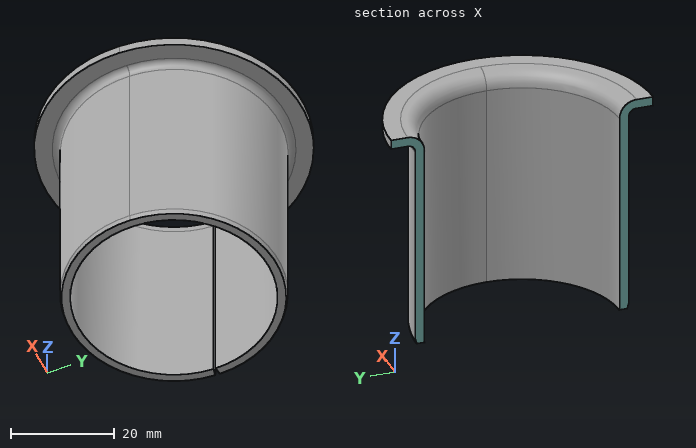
import cadquery as cq
import math

flange_diameter = 54.0
body_diameter = 44.0
wall = 2.0
height = 45.0
outer_fillet = 1.5
chamfer_height = 1.1
chamfer_depth = 0.3
slit_half_angle = math.radians(10)
slit_mouth_width = 2.85

flange_radius = flange_diameter / 2
body_radius = body_diameter / 2
bore_radius = body_radius - wall
bend_radius = outer_fillet + wall
bend_centre_radius = body_radius + outer_fillet
bend_centre_height = height - bend_radius


def bend_midpoint(radius):
    """Point halfway along a bend arc of the given radius."""
    offset = radius * math.cos(math.radians(45))
    return (bend_centre_radius - offset, bend_centre_height + offset)


def flanged_sleeve():
    """Revolve the wall section about Z, with the flange at the top."""
    section = (
        cq.Workplane("XZ")
        .moveTo(bore_radius, 0)
        .lineTo(body_radius - chamfer_depth, 0)
        .lineTo(body_radius, chamfer_height)
        .lineTo(body_radius, bend_centre_height)
        .threePointArc(bend_midpoint(outer_fillet), (bend_centre_radius, height - wall))
        .lineTo(flange_radius, height - wall)
        .lineTo(flange_radius, height)
        .lineTo(bend_centre_radius, height)
        .threePointArc(bend_midpoint(bend_radius), (bore_radius, bend_centre_height))
        .close()
    )
    return section.revolve(360, (0, 0), (0, 1))


def slit_wedge():
    """Full-height wedge on the -X side, with its apex inside the bore."""
    slope = math.tan(slit_half_angle)
    half_mouth = slit_mouth_width / 2
    mouth_x = math.sqrt(flange_radius**2 - half_mouth**2)
    apex_x = mouth_x - half_mouth / slope
    outer_x = flange_radius + wall
    half_width = (outer_x - apex_x) * slope
    corners = [(-apex_x, 0), (-outer_x, half_width), (-outer_x, -half_width)]
    return cq.Workplane("XY").polyline(corners).close().extrude(height)


result = flanged_sleeve().cut(slit_wedge())